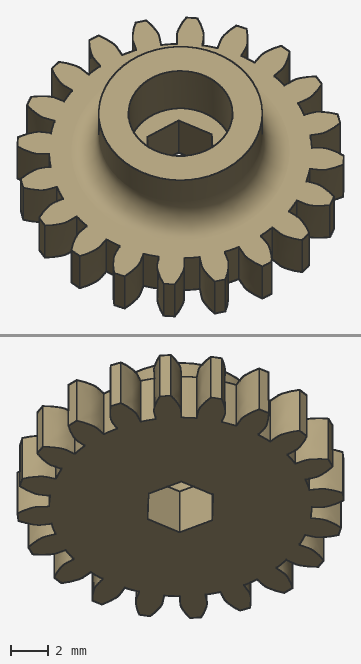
import cadquery as cq
import math

outer_size = 17.57
total_height = 6.5
gear_height = 3.0

tooth_count = 20
tooth_pitch = 360.0 / tooth_count
first_tooth_angle = 5.2
root_radius = 7.06
tip_half_width = 0.3

tip_distance = (
    outer_size / 2 - tip_half_width * math.sin(math.radians(first_tooth_angle))
) / math.cos(math.radians(first_tooth_angle))

root_overlap = 0.18
root_half_width = 0.69
flank_points = [
    (root_radius - root_overlap / 2, root_half_width),
    (7.47, 0.72),
    (7.73, 0.72),
    (8.08, 0.63),
    (8.43, 0.5),
    (tip_distance, tip_half_width),
]

collar_radius = 8.8 / 2
collar_fillet = 1.48

bore_diameter = 5.6
bore_depth = total_height - gear_height
hex_across_flats = 3.48
hex_across_corners = hex_across_flats / math.cos(math.pi / 6)


def make_tooth(angle):
    """One tooth with bulging flanks and a flat tip, turned to its angle."""
    inner_distance = root_radius - root_overlap
    lower_flank = [(x, -y) for x, y in reversed(flank_points)]
    return (
        cq.Workplane("XY")
        .moveTo(inner_distance, root_half_width)
        .lineTo(*flank_points[0])
        .spline(flank_points[1:], includeCurrent=True)
        .lineTo(*lower_flank[0])
        .spline(lower_flank[1:], includeCurrent=True)
        .lineTo(inner_distance, -root_half_width)
        .close()
        .extrude(gear_height)
        .rotate((0, 0, 0), (0, 0, 1), angle)
    )


def make_collar():
    """Revolved collar with a quarter-round flare at its foot."""
    flare_radius = collar_radius + collar_fillet
    flare_top = gear_height + collar_fillet
    arc_offset = collar_fillet * math.sqrt(0.5)
    arc_middle = (flare_radius - arc_offset, flare_top - arc_offset)
    return (
        cq.Workplane("XZ")
        .lineTo(flare_radius, 0)
        .lineTo(flare_radius, gear_height)
        .threePointArc(arc_middle, (collar_radius, flare_top))
        .lineTo(collar_radius, total_height)
        .lineTo(0, total_height)
        .close()
        .revolve(360, (0, 0, 0), (0, 1, 0))
    )


gear = cq.Workplane("XY").circle(root_radius).extrude(gear_height)
for index in range(tooth_count):
    gear = gear.union(make_tooth(first_tooth_angle + index * tooth_pitch))

bore = (
    cq.Workplane("XY")
    .workplane(offset=total_height - bore_depth)
    .circle(bore_diameter / 2)
    .extrude(bore_depth)
)
hex_hole = cq.Workplane("XY").polygon(6, hex_across_corners).extrude(total_height)

result = gear.union(make_collar()).cut(bore).cut(hex_hole)